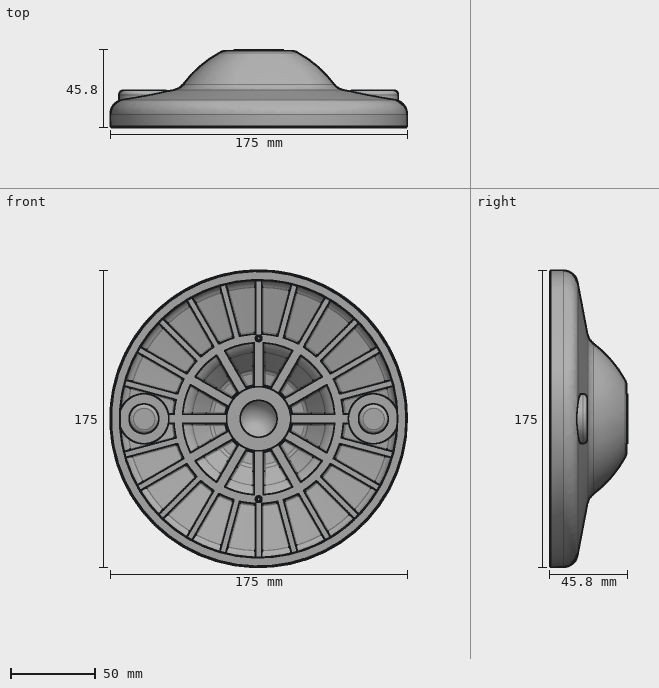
import cadquery as cq
import math


rim_radius = 87.5
total_depth = 45.8
rim_chamfer = 0.7
shoulder_fillet = 8.7
dome_foot_radius = 46.3
dome_foot_y = 22.9
dome_foot_fillet = 8.7
shell_slope = 0.19
crown_radius = 14.5
crown_height = 0.5
tip_flat_y = total_depth - crown_height
tip_flat_radius = 19.2
dome_arc_middle = (35.3, 35.5)
dome_arc_end = (23.3, 44.0)
crown_round_middle = (21.5, 45.0)

wall = 3.8
rim_inner_radius = 81.5
rim_inner_chamfer = 0.3
face_inset = 0.3
rib_recess = 3.3
floor_end_radius = 77.5
floor_arc_start_y = 7.9
floor_arc_middle = (80.3, 11.0)
ring_outer_radius = 49.8
ring_inner_radius = 44.8
hub_radius = 18.9
hub_foot_radius = 20.0
hub_foot_y = 38.1
flare_middle = (41.5, 21.3)
dome_wall_start = (39.2, 24.1)
dome_wall_end = (29.0, 35.8)
dome_corner_middle = (28.2, 36.7)
dome_floor_start = (27.0, 37.2)
bore_radius = 10.8
bore_straight_depth = 27.6
bore_end_height = 6.3

outer_rib_pitch = 15.0
outer_rib_width = 3.5
spoke_pitch = 30.0
spoke_width = 5.5
rib_draft = math.tan(math.radians(1.0))
floor_fillet = 0.5

boss_offset = 67.5
boss_radius = 14.7
boss_top_y = 22.0
boss_base_y = 14.0
boss_edge_fillet = 2.6
boss_hole_radius = 8.7
boss_hole_depth = 17.5
boss_button_height = 2.6
boss_button_fillet = 2.5
dimple_offset = (ring_outer_radius + ring_inner_radius) / 2
dimple_radius = 2.0
dimple_tip_radius = 1.0
dimple_depth = 1.4


def shell_y(radius):
    """Height of the outer cone at a given radius."""
    return dome_foot_y - shell_slope * (radius - dome_foot_radius)


def floor_y(radius):
    """Height of the cavity floor, one wall thickness below the outer cone."""
    return shell_y(radius) - wall * math.hypot(1, shell_slope)


def revolve(profile, angle=360):
    """Revolve a closed (radius, y) profile about the part axis."""
    return profile.close().revolve(angle, (0, 0, 0), (0, 1, 0))


def cylinder(radius, y_start, y_end, x=0, z=0):
    """Round bar along +Y."""
    solid = cq.Solid.makeCylinder(radius, y_end - y_start, cq.Vector(x, y_start, z), cq.Vector(0, 1, 0))
    return cq.Workplane(obj=solid)


def turned(body, angle):
    """Turn a body about the part axis."""
    return body.rotate((0, 0, 0), (0, 1, 0), angle)


def make_outer_body():
    shoulder_y = shell_y(rim_radius)
    reach = 1.1 * rim_radius
    body = revolve(
        cq.Workplane("XY")
        .moveTo(0, 0)
        .lineTo(rim_radius - rim_chamfer, 0)
        .lineTo(rim_radius, rim_chamfer)
        .lineTo(rim_radius, shoulder_y)
        .lineTo(dome_foot_radius, dome_foot_y)
        .threePointArc(dome_arc_middle, dome_arc_end)
        .threePointArc(crown_round_middle, (tip_flat_radius, tip_flat_y))
        .lineTo(crown_radius, tip_flat_y)
        .lineTo(crown_radius, total_depth)
        .lineTo(0, total_depth)
    )
    for edge_y, radius in ((shoulder_y, shoulder_fillet), (dome_foot_y, dome_foot_fillet)):
        edge_box = cq.selectors.BoxSelector(
            (-reach, edge_y - 0.2, -reach),
            (reach, edge_y + 0.2, reach),
            boundingbox=True,
        )
        body = body.edges(edge_box).fillet(radius)
    return body


def make_rib(width):
    """Drafted bar along +X that widens towards the floor."""
    top = width / 2
    bottom = top + rib_draft * (total_depth - rib_recess)
    return (
        cq.Workplane("YZ")
        .polyline([(rib_recess, -top), (rib_recess, top), (total_depth, bottom), (total_depth, -bottom)])
        .close()
        .extrude(rim_radius)
    )


def make_pocket(profile, pitch, rib_width):
    """Revolved cavity centred on +X and bounded by two neighbouring ribs."""
    pocket = turned(revolve(profile, pitch), -pitch / 2)
    rib = make_rib(rib_width)
    for side in (-1, 1):
        pocket = pocket.cut(turned(rib, side * pitch / 2))
    return pocket


def make_outer_pocket():
    ring_foot_radius = ring_outer_radius + floor_fillet
    profile = (
        cq.Workplane("XY")
        .moveTo(ring_outer_radius, rib_recess)
        .lineTo(ring_foot_radius, floor_y(ring_foot_radius))
        .lineTo(floor_end_radius, floor_y(floor_end_radius))
        .threePointArc(floor_arc_middle, (rim_inner_radius, floor_arc_start_y))
        .lineTo(rim_inner_radius, rib_recess)
    )
    pocket = make_pocket(profile, outer_rib_pitch, outer_rib_width)
    return pocket.faces("%CONE").faces(">Y").edges("not(#Y)").fillet(floor_fillet)


def make_dome_pocket():
    profile = (
        cq.Workplane("XY")
        .moveTo(hub_radius, rib_recess)
        .lineTo(ring_inner_radius, rib_recess)
        .lineTo(ring_inner_radius, floor_y(ring_inner_radius))
        .threePointArc(flare_middle, dome_wall_start)
        .lineTo(*dome_wall_end)
        .threePointArc(dome_corner_middle, dome_floor_start)
        .lineTo(hub_foot_radius, hub_foot_y)
    )
    pocket = make_pocket(profile, spoke_pitch, spoke_width)
    below, above = [
        cq.selectors.BoxSelector(
            (hub_foot_radius, floor_y(ring_inner_radius), side * spoke_width / 3),
            (ring_outer_radius, total_depth, side * ring_inner_radius),
        )
        for side in (-1, 1)
    ]
    rib_feet = below + above
    return pocket.edges(rib_feet).fillet(floor_fillet)


def make_bore():
    """Blind bore with a shallow spherical end."""
    end_sphere_radius = (bore_radius**2 + bore_end_height**2) / (2 * bore_end_height)
    half_radius = bore_radius / 2
    half_sag = end_sphere_radius - math.sqrt(end_sphere_radius**2 - half_radius**2)
    end_middle = (half_radius, bore_straight_depth + bore_end_height - half_sag)
    return revolve(
        cq.Workplane("XY")
        .moveTo(0, 0)
        .lineTo(bore_radius, 0)
        .lineTo(bore_radius, bore_straight_depth)
        .threePointArc(end_middle, (0, bore_straight_depth + bore_end_height))
    )


def make_boss_top():
    """Part of a side boss that rises above the outer cone, on the +X side."""
    boss = cylinder(boss_radius, boss_base_y, boss_top_y, boss_offset)
    return boss.faces(">Y").edges().fillet(boss_edge_fillet)


def make_boss_hole():
    """Blind hole whose floor carries a round button."""
    button = cylinder(boss_hole_radius, boss_hole_depth - boss_button_height, boss_hole_depth, boss_offset)
    button = button.faces("<Y").edges().fillet(boss_button_fillet)
    return cylinder(boss_hole_radius, 0, boss_hole_depth, boss_offset).cut(button)


def make_dimple():
    """Small conical mark on the ring, on the +Z side."""
    start = cq.Vector(0, rib_recess, dimple_offset)
    cone = cq.Solid.makeCone(dimple_radius, dimple_tip_radius, dimple_depth, start, cq.Vector(0, 1, 0))
    return cq.Workplane(obj=cone)


def make_face_recess():
    """Shallow recess that sets the ribs and ring back, leaving the hub and side bosses standing."""
    rim_mouth_radius = rim_inner_radius + rim_inner_chamfer
    recess = revolve(
        cq.Workplane("XY")
        .moveTo(0, 0)
        .lineTo(rim_mouth_radius, 0)
        .lineTo(rim_inner_radius, face_inset)
        .lineTo(rim_inner_radius, rib_recess)
        .lineTo(hub_radius, rib_recess)
        .lineTo(hub_radius, face_inset)
        .lineTo(0, face_inset)
    )
    for x in (-boss_offset, boss_offset):
        recess = recess.cut(cylinder(boss_radius, face_inset, total_depth, x))
    return recess


def make_cavities():
    """All pockets between the ribs; those beside the side bosses leave the boss and its stub rib."""
    boss_with_stub = cylinder(boss_radius, 0, total_depth, boss_offset).union(
        make_rib(spoke_width).intersect(cylinder(boss_offset, 0, total_depth))
    )
    outer_pocket = make_outer_pocket()
    dome_pocket = make_dome_pocket()
    cavities = [make_face_recess()]
    for index in range(round(360 / spoke_pitch)):
        cavities.append(turned(dome_pocket, (index + 0.5) * spoke_pitch))
    for index in range(round(180 / outer_rib_pitch)):
        angle = (index + 0.5) * outer_rib_pitch
        pocket = turned(outer_pocket, angle)
        if angle < outer_rib_pitch or angle > 180 - outer_rib_pitch:
            pocket = pocket.cut(boss_with_stub).cut(turned(boss_with_stub, 180))
        cavities += [pocket, turned(pocket, 180)]
    return cavities


boss_top = make_boss_top()
boss_hole = make_boss_hole()
dimple = make_dimple()
result = make_outer_body().cut(make_bore())
for angle in (0, 180):
    result = result.union(turned(boss_top, angle))
    result = result.cut(turned(boss_hole, angle))
cavities = make_cavities() + [dimple, turned(dimple, 180)]
cavity_shapes = [cavity.val() for cavity in cavities]
result = cq.Workplane(obj=result.val().cut(*cavity_shapes)).solids()